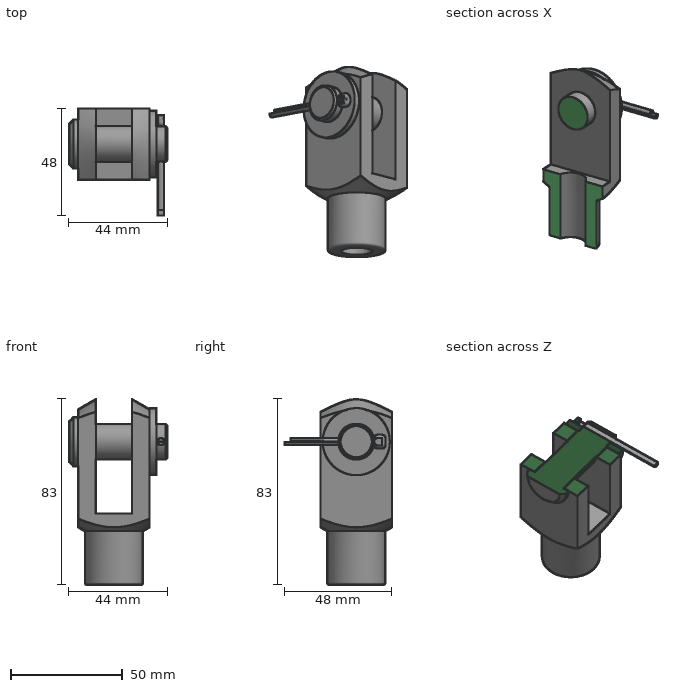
import cadquery as cq
import math

fork_width = 32.0
fork_height = 83.0
slot_width = 16.0
slot_floor_z = 32.0
shank_diameter = 26.0
shank_length = 24.0
shank_fillet = 1.0
bore_diameter = 14.0
cone_angle = 30.0

pin_diameter = 16.0
pin_z = 64.0
head_diameter = 22.0
head_thickness = 4.0
head_chamfer = 2.0
pin_end_x = 24.0
pin_end_chamfer = 1.0

washer_diameter = 30.0
washer_thickness = 3.0

cotter_x = 21.0
wire_radius = 1.45
leg_gap = 0.3
long_leg_y = -32.0
short_leg_y = -29.5
eye_end_y = 13.0
eye_bend_radius = 1.5

half_width = fork_width / 2
pin_radius = pin_diameter / 2
half_gap = leg_gap / 2


def make_fork():
    head_height = fork_height - shank_length
    head = cq.Workplane("XY").box(fork_width, fork_width, head_height, centered=(True, True, False))
    head = head.translate((0, 0, shank_length))

    slope = math.tan(math.radians(cone_angle))
    top_radius = slot_width / 2
    bottom_radius = shank_diameter / 2
    outer_radius = fork_width
    top_edge_z = fork_height - (outer_radius - top_radius) * slope
    bottom_edge_z = shank_length + (outer_radius - bottom_radius) * slope
    envelope = (
        cq.Workplane("XZ")
        .moveTo(0, shank_length)
        .lineTo(bottom_radius, shank_length)
        .lineTo(outer_radius, bottom_edge_z)
        .lineTo(outer_radius, top_edge_z)
        .lineTo(top_radius, fork_height)
        .lineTo(0, fork_height)
        .close()
        .revolve(360, (0, 0, 0), (0, 1, 0))
    )
    head = head.intersect(envelope)

    shank = cq.Workplane("XY").circle(shank_diameter / 2).extrude(shank_length)
    shank = shank.faces("<Z").fillet(shank_fillet)

    slot = cq.Workplane("XY").box(slot_width, fork_width, fork_height, centered=(True, True, False))
    slot = slot.translate((0, 0, slot_floor_z))
    bore = cq.Workplane("XY").circle(bore_diameter / 2).extrude(slot_floor_z)
    pin_hole = x_cylinder(pin_diameter, -half_width, half_width)
    return head.union(shank).cut(slot).cut(bore).cut(pin_hole)


def x_cylinder(diameter, start_x, end_x):
    """Cylinder on the clevis pin axis between two X positions."""
    base = cq.Workplane("YZ", origin=(start_x, 0, pin_z))
    return base.circle(diameter / 2).extrude(end_x - start_x)


def make_clevis_pin():
    head = x_cylinder(head_diameter, -half_width - head_thickness, -half_width)
    head = head.faces("<X").chamfer(head_chamfer)
    shaft = x_cylinder(pin_diameter, -half_width, pin_end_x)
    shaft = shaft.faces(">X").chamfer(pin_end_chamfer)
    cotter_hole = (
        cq.Workplane("XZ", origin=(cotter_x, 0, pin_z))
        .slot2D(leg_gap + 2 * wire_radius, 2 * wire_radius, 90)
        .extrude(pin_radius, both=True)
    )
    return head.union(shaft).cut(cotter_hole)


def make_washer():
    disc = x_cylinder(washer_diameter, half_width, half_width + washer_thickness)
    return disc.cut(x_cylinder(pin_diameter, half_width, half_width + washer_thickness))


def make_cotter_half(leg_end_y):
    """Upper leg with its half of the eye; the half-round section stays upright along the whole path."""
    bend = eye_bend_radius
    bend_middle = bend * math.sqrt(0.5)
    eye_start_y = pin_radius
    near_bend_y = eye_start_y + bend
    far_bend_y = eye_end_y - bend
    path = (
        cq.Workplane("YZ", origin=(cotter_x, 0, pin_z + half_gap))
        .moveTo(eye_start_y, 0)
        .threePointArc((near_bend_y - bend_middle, bend_middle), (near_bend_y, bend))
        .lineTo(far_bend_y, bend)
        .threePointArc((far_bend_y + bend_middle, bend_middle), (eye_end_y, 0))
    )
    leg = half_round_section(leg_end_y).extrude(leg_end_y - eye_start_y)
    eye_half = half_round_section(eye_start_y).sweep(path, normal=(0, 1, 0))
    return leg.union(eye_half)


def half_round_section(section_y):
    """Half-round wire outline with its flat side down, just above the middle of the cotter pin."""
    return (
        cq.Workplane("XZ", origin=(cotter_x, section_y, pin_z + half_gap))
        .moveTo(-wire_radius, 0)
        .threePointArc((0, wire_radius), (wire_radius, 0))
        .close()
    )


def make_cotter():
    upper = make_cotter_half(short_leg_y)
    lower = make_cotter_half(long_leg_y).mirror("XY", (0, 0, pin_z))

    far_bend_y = eye_end_y - eye_bend_radius
    bend_middle = eye_bend_radius * math.sqrt(0.5)
    nose_height = half_gap + eye_bend_radius
    nose = (
        cq.Workplane("YZ", origin=(cotter_x, 0, pin_z))
        .moveTo(far_bend_y, nose_height)
        .threePointArc((far_bend_y + bend_middle, half_gap + bend_middle), (eye_end_y, half_gap))
        .lineTo(eye_end_y, -half_gap)
        .threePointArc((far_bend_y + bend_middle, -half_gap - bend_middle), (far_bend_y, -nose_height))
        .close()
        .extrude(wire_radius, both=True)
    )
    return upper.union(nose).union(lower)


fork = make_fork().solids()
clevis_pin = make_clevis_pin().solids()
washer = make_washer().solids()
cotter = make_cotter().solids()

result = cq.Compound.makeCompound([fork.val(), clevis_pin.val(), washer.val(), cotter.val()])